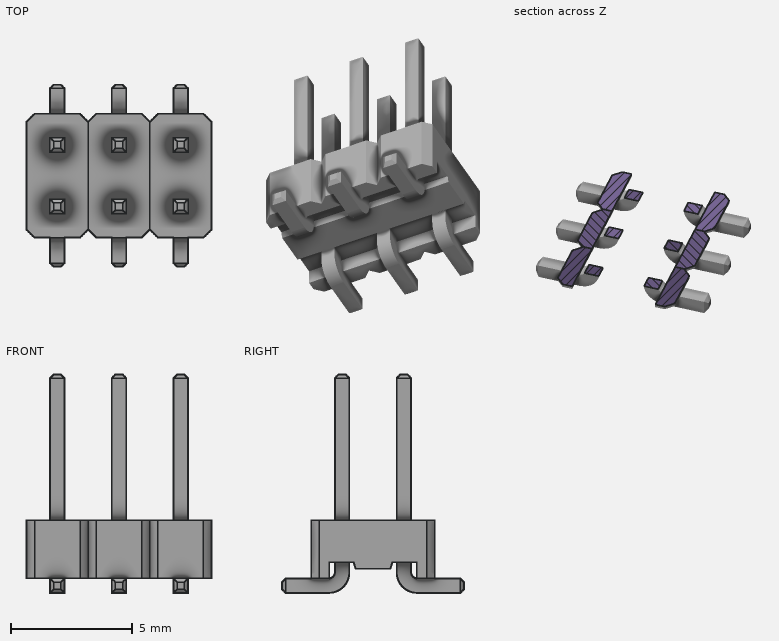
import cadquery as cq

column_count = 3
row_length = 7.62
pitch = row_length / column_count
total_height = 9.0
foot_span = 7.5

pin_width = 0.6
pin_tip_chamfer = 0.15
bend_inner_radius = 0.25
bend_outer_radius = bend_inner_radius + pin_width

housing_depth = 5.1
housing_bottom = pin_width
housing_top = 3.0
corner_chamfer = 0.33

channel_width = 3.6
channel_roof = 1.26
rib_bottom = 1.0
rib_root_width = 1.6
rib_tip_width = 1.44


def make_channel():
    """Space under the housing between its two side feet, running the full width along X."""
    side = channel_width / 2
    root = rib_root_width / 2
    tip = rib_tip_width / 2
    outline = [
        (-side, housing_bottom),
        (-side, channel_roof),
        (-root, channel_roof),
        (-tip, rib_bottom),
        (tip, rib_bottom),
        (root, channel_roof),
        (side, channel_roof),
        (side, housing_bottom),
    ]
    return cq.Workplane("YZ").polyline(outline).close().extrude(pitch / 2, both=True)


def make_housing(x):
    """One housing block with chamfered upright corners and a square hole for each of its two pins."""
    block = (
        cq.Workplane("XY")
        .workplane(offset=housing_bottom)
        .rect(pitch, housing_depth)
        .extrude(housing_top - housing_bottom)
        .edges("|Z")
        .chamfer(corner_chamfer)
    )
    pin_holes = (
        cq.Workplane("XY")
        .pushPoints([(0, -pitch / 2), (0, pitch / 2)])
        .rect(pin_width, pin_width)
        .extrude(housing_top)
    )
    return block.cut(make_channel()).cut(pin_holes).translate((x, 0, 0))


def make_pin(x, turn):
    """One bent pin: its foot points to +Y, and turning it 180 degrees about Z points the foot to -Y."""
    inner_face = pitch / 2 - pin_width / 2
    outer_face = inner_face + pin_width
    bend_center_y = inner_face + bend_outer_radius
    foot_end = foot_span / 2
    pin = (
        cq.Workplane("YZ")
        .moveTo(inner_face, total_height)
        .lineTo(inner_face, bend_outer_radius)
        .radiusArc((bend_center_y, 0), -bend_outer_radius)
        .lineTo(foot_end, 0)
        .lineTo(foot_end, pin_width)
        .lineTo(bend_center_y, pin_width)
        .radiusArc((outer_face, bend_outer_radius), bend_inner_radius)
        .lineTo(outer_face, total_height)
        .close()
        .extrude(pin_width / 2, both=True)
    )
    pin = pin.faces(">Z").chamfer(pin_tip_chamfer)
    pin = pin.faces(">Y").chamfer(pin_tip_chamfer)
    return pin.rotate((0, 0, 0), (0, 0, 1), turn).translate((x, 0, 0))


housings = []
pins = []
for column in range(column_count):
    column_x = (column - (column_count - 1) / 2) * pitch
    housings.append(make_housing(column_x).solids().val())
    for pin_turn in (0, 180):
        pins.append(make_pin(column_x, pin_turn).solids().val())

result = cq.Compound.makeCompound([*housings, *pins])